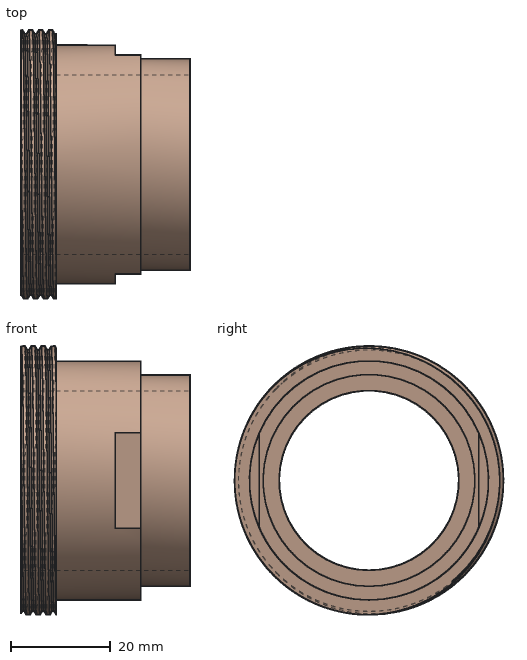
import cadquery as cq

TOTAL_LENGTH = 34.0
BORE_DIAMETER = 36.0

THREAD_DIAMETER = 54.0
THREAD_LENGTH = 7.1
BODY_DIAMETER = 48.0
BODY_END = 24.1
SPIGOT_DIAMETER = 42.5

FLATS_ACROSS = 44.0
FLAT_LENGTH = 5.1

PITCH = 2.0
GROOVE_DEPTH = 0.75
GROOVE_ROOT_WIDTH = 0.4
GROOVE_MOUTH_WIDTH = 1.3
GROOVE_CLEARANCE = 0.2
GROOVE_OFFSET = 0.48
GROOVE_START = GROOVE_OFFSET - PITCH
GROOVE_TURNS = 5.5


def cylinder(diameter, start, end):
    """Solid cylinder about the X axis between two X positions, its seam on the -Z side."""
    plane = cq.Plane(origin=(start, 0, 0), xDir=(0, 0, -1), normal=(1, 0, 0))
    return cq.Workplane(plane).circle(diameter / 2).extrude(end - start)


def wrench_flat_cutter(side):
    """Block beyond one wrench flat; side is +1 or -1 along Y."""
    depth = (BODY_DIAMETER - FLATS_ACROSS) / 2
    return cq.Workplane("XY").box(FLAT_LENGTH, depth, BODY_DIAMETER).translate(
        (BODY_END - FLAT_LENGTH / 2, side * (FLATS_ACROSS + depth) / 2, 0)
    )


def thread_groove_cutter():
    """Helical groove, wound about Z and then turned onto the X axis."""
    root_radius = THREAD_DIAMETER / 2 - GROOVE_DEPTH
    outer_radius = THREAD_DIAMETER / 2 + GROOVE_CLEARANCE
    flank_slope = (GROOVE_MOUTH_WIDTH - GROOVE_ROOT_WIDTH) / 2 / GROOVE_DEPTH
    root_half = GROOVE_ROOT_WIDTH / 2
    outer_half = GROOVE_MOUTH_WIDTH / 2 + flank_slope * GROOVE_CLEARANCE
    path = cq.Workplane(cq.Wire.makeHelix(PITCH, GROOVE_TURNS * PITCH, root_radius))
    profile = cq.Workplane("XZ").polyline(
        [
            (root_radius, -root_half),
            (outer_radius, -outer_half),
            (outer_radius, outer_half),
            (root_radius, root_half),
        ]
    ).close()
    groove = profile.sweep(path, isFrenet=True)
    return groove.rotate((0, 0, 0), (0, 1, 0), 90).translate((GROOVE_START, 0, 0))


threaded_collar = cylinder(THREAD_DIAMETER, 0, THREAD_LENGTH).cut(thread_groove_cutter())

body = cylinder(BODY_DIAMETER, 0, BODY_END)
for side in (1, -1):
    body = body.cut(wrench_flat_cutter(side))

spigot = cylinder(SPIGOT_DIAMETER, 0, TOTAL_LENGTH)
bore = cylinder(BORE_DIAMETER, 0, TOTAL_LENGTH)
result = threaded_collar.union(body).union(spigot).cut(bore)